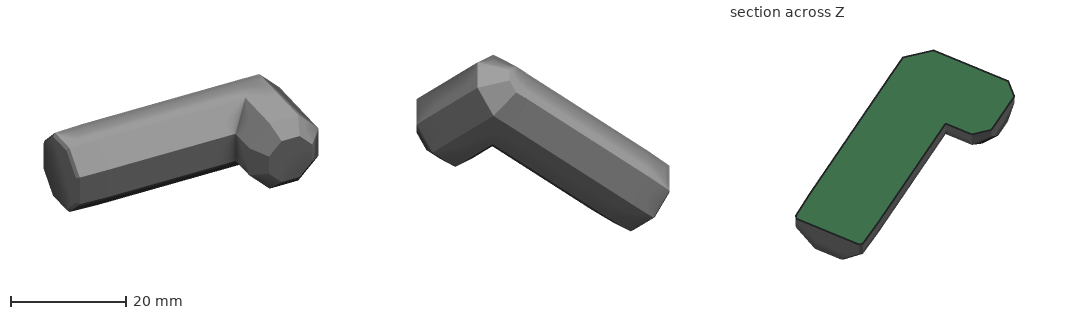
import cadquery as cq
import math

side_count = 8
across_flats = 13.58
total_length_x = 21.29
total_length_y = 44.51

corner_bevel = 3.9
corner_bevel_length = 3.985
corner_setback = 0.02
free_end_bevel = 2.55

tip_length = 5.97
tip_taper = 0.15
tip_chamfer = 0.5

half_flats = across_flats / 2
lever_axis_x = half_flats
tip_end = total_length_y - half_flats
tip_start = tip_end - tip_length
chamfer_start = tip_end - tip_chamfer


def octagon(plane, inset=0.0):
    """Regular octagon, flats square to the plane axes, moved inwards by inset."""
    flats = across_flats - 2 * inset
    half_side_angle = 180 / side_count
    corner_diameter = flats / math.cos(math.radians(half_side_angle))
    return (
        cq.Workplane(plane)
        .transformed(rotate=(0, 0, half_side_angle))
        .polygon(side_count, corner_diameter)
        .wires()
        .val()
    )


def octagonal_bar(stations, plane_at):
    """Flat-faced octagonal bar through (distance, inset) stations."""
    wires = [octagon(plane_at(distance), inset) for distance, inset in stations]
    bar = cq.Workplane(cq.Solid.makeLoft(wires[:2], True))
    for first, second in zip(wires[1:], wires[2:]):
        bar = bar.union(cq.Workplane(cq.Solid.makeLoft([first, second], True)))
    return bar


def crossbar_plane(x):
    return cq.Plane(origin=(x, 0, 0), xDir=(0, 1, 0), normal=(1, 0, 0))


def lever_plane(distance):
    return cq.Plane(origin=(lever_axis_x, -distance, 0), xDir=(1, 0, 0), normal=(0, -1, 0))


def make_crossbar():
    stations = [
        (corner_setback, corner_bevel),
        (corner_setback + corner_bevel_length, 0),
        (total_length_x - free_end_bevel, 0),
        (total_length_x, free_end_bevel),
    ]
    return octagonal_bar(stations, crossbar_plane)


def make_lever():
    stations = [
        (0, 0),
        (tip_start, 0),
        (chamfer_start, tip_taper),
        (tip_end, tip_taper + tip_chamfer),
    ]
    return octagonal_bar(stations, lever_plane)


result = make_crossbar().union(make_lever())